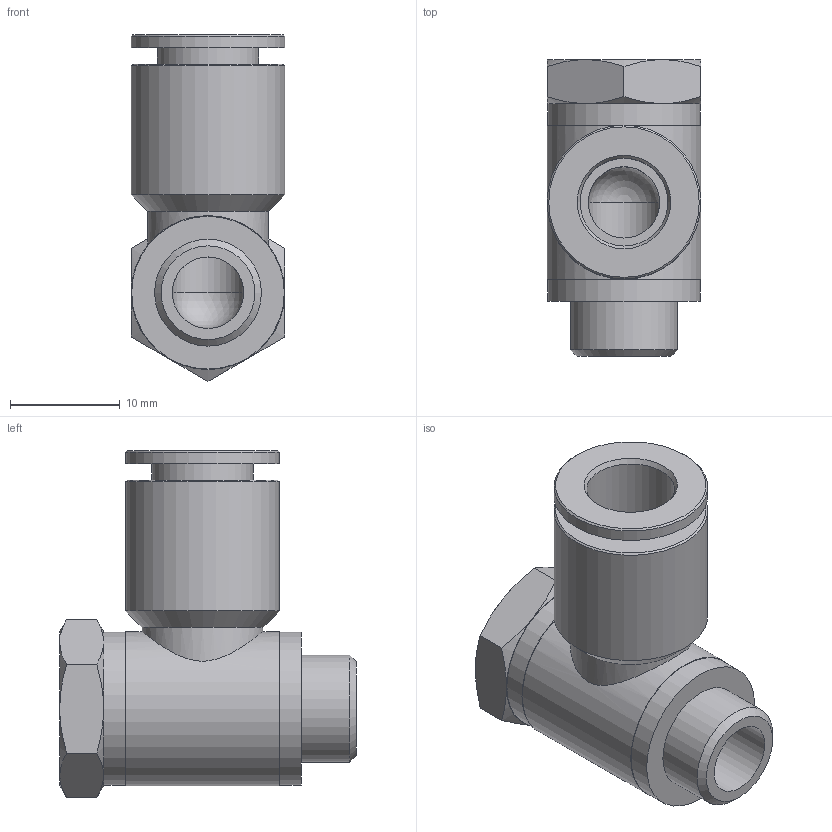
import math

import cadquery as cq

BODY_DIAMETER = 14.0
BODY_HALF_LENGTH = 7.0

COLLAR_DIAMETER = 13.9
COLLAR_LENGTH = 2.0
STUD_DIAMETER = 9.73
STUD_LENGTH = 5.0
STUD_CHAMFER = 0.6
HEX_SIDES = 6
HEX_ACROSS_FLATS = 14.0
HEX_THICKNESS = 4.0
HEX_CHAMFER_ANGLE = 30.0

NECK_DIAMETER = 11.0
CONE_START_Z = 7.4
SOCKET_DIAMETER = 14.0
SOCKET_LENGTH = 11.9
SOCKET_CHAMFER = 0.15

SLEEVE_DIAMETER = 9.2
SLEEVE_GAP = 1.5
BUTTON_DIAMETER = 14.0
BUTTON_THICKNESS = 1.2
BUTTON_CHAMFER = 0.15

TUBE_BORE_DIAMETER = 8.0
TUBE_BORE_MOUTH_DIAMETER = 8.5
TUBE_BORE_MOUTH_DEPTH = 0.45
FLOW_DIAMETER = 6.5

collar_end = BODY_HALF_LENGTH + COLLAR_LENGTH
stud_end = collar_end + STUD_LENGTH
hex_across_corners = HEX_ACROSS_FLATS / math.cos(math.pi / HEX_SIDES)
cone_height = (SOCKET_DIAMETER - NECK_DIAMETER) / 2
socket_bottom = CONE_START_Z + cone_height
socket_top = socket_bottom + SOCKET_LENGTH
button_bottom = socket_top + SLEEVE_GAP
button_top = button_bottom + BUTTON_THICKNESS


def cylinder_y(diameter, y_start, y_end):
    """Solid cylinder on the Y axis between two Y positions."""
    plane = cq.Workplane("XZ", origin=(0, y_start, 0))
    return plane.circle(diameter / 2).extrude(y_start - y_end)


def cylinder_z(diameter, z_start, z_end):
    """Solid cylinder on the Z axis between two Z positions."""
    plane = cq.Workplane("XY").workplane(offset=z_start)
    return plane.circle(diameter / 2).extrude(z_end - z_start)


def make_hex_head():
    """Hexagon with flats facing +/-X, its corners turned off conically at both ends."""
    head = (
        cq.Workplane("XZ", origin=(0, collar_end, 0))
        .transformed(rotate=(0, 0, 90))
        .polygon(HEX_SIDES, hex_across_corners)
        .extrude(-HEX_THICKNESS)
    )
    corner_radius = hex_across_corners / 2
    chamfer_width = corner_radius - HEX_ACROSS_FLATS / 2
    chamfer_depth = chamfer_width * math.tan(math.radians(HEX_CHAMFER_ANGLE))
    envelope = (
        cylinder_y(hex_across_corners, collar_end, collar_end + HEX_THICKNESS)
        .faces("<Y or >Y")
        .chamfer(chamfer_depth, chamfer_width)
    )
    return head.intersect(envelope)


def make_screw():
    """Threaded stud, the two collars either side of the body, and the hex head."""
    collars = cylinder_y(COLLAR_DIAMETER, -collar_end, collar_end)
    stud = cylinder_y(STUD_DIAMETER, -stud_end, -collar_end).faces("<Y").chamfer(STUD_CHAMFER)
    return collars.union(stud).union(make_hex_head())


def make_socket():
    """Neck, cone and tube socket."""
    neck = cylinder_z(NECK_DIAMETER, 0, CONE_START_Z)
    socket = cylinder_z(SOCKET_DIAMETER, CONE_START_Z, socket_top)
    socket = socket.faces("<Z").chamfer(cone_height)
    return neck.union(socket.faces(">Z").chamfer(SOCKET_CHAMFER))


def make_button():
    """Release button standing out of the socket."""
    sleeve = cylinder_z(SLEEVE_DIAMETER, socket_top, button_bottom)
    flange = cylinder_z(BUTTON_DIAMETER, button_bottom, button_top)
    return sleeve.union(flange.faces(">Z").chamfer(BUTTON_CHAMFER))


def make_passage():
    """Tube bore and flow elbow, with a ball-shaped corner where the bores meet."""
    tube_bore = cylinder_z(TUBE_BORE_DIAMETER, socket_bottom, button_top)
    mouth = cq.Solid.makeCone(
        TUBE_BORE_DIAMETER / 2,
        TUBE_BORE_MOUTH_DIAMETER / 2,
        TUBE_BORE_MOUTH_DEPTH,
        pnt=cq.Vector(0, 0, button_top - TUBE_BORE_MOUTH_DEPTH),
    )
    riser = cylinder_z(FLOW_DIAMETER, 0, socket_bottom)
    stud_bore = cylinder_y(FLOW_DIAMETER, -stud_end, 0)
    corner = cq.Workplane("XY").sphere(FLOW_DIAMETER / 2)
    return tube_bore.union(mouth).union(riser).union(stud_bore).union(corner)


body = cylinder_y(BODY_DIAMETER, -BODY_HALF_LENGTH, BODY_HALF_LENGTH)
fitting = body.union(make_screw()).union(make_socket()).union(make_button())
result = fitting.cut(make_passage())